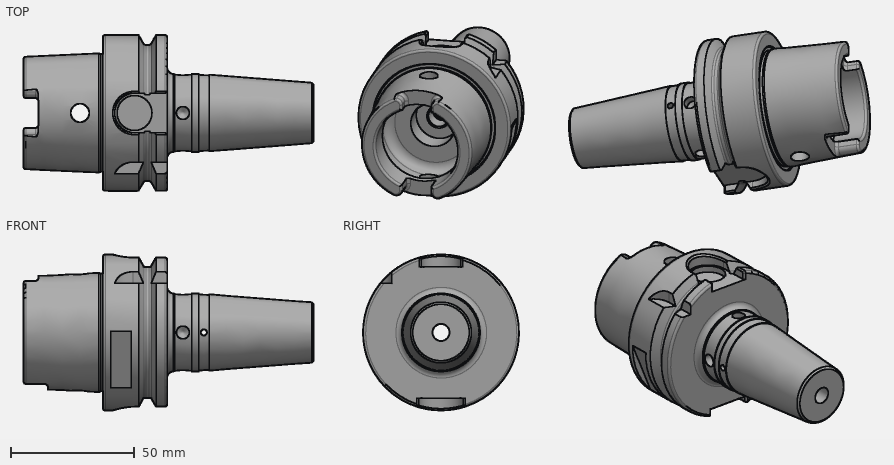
import cadquery as cq
import math


SHANK_LENGTH = 32.0
SHANK_ROOT_RADIUS = 24.1
SHANK_END_RADIUS = 22.7
SHANK_END_ROUND = 1.0
NECK_LENGTH = 1.6
NECK_RADIUS = 23.8
FACE_GROOVE_RADIUS = 25.5
FACE_GROOVE_DEPTH = 0.4

FLANGE_RADIUS = 31.5
FLANGE_WIDTH = 26.0
FLANGE_ROUND = 1.0
GROOVE_LEFT = 14.4
GROOVE_RIGHT = 21.5
GROOVE_FLOOR_RADIUS = 27.5
GROOVE_WALL_ANGLE = 30.0
GROOVE_FILLET = 1.0

NOSE_END = 85.0
NOSE_RADIUS = 15.5
NOSE_FILLET = 2.5
NOSE_SHOULDER_RADIUS = 15.8
NOSE_SHOULDER_LENGTH = 0.6
RING_START = 35.8
RING_END = 38.7
RING_RADIUS = 15.8
RELIEF_END_RADIUS = 15.2
TAPER_START = 42.9
NOSE_END_RADIUS = 12.2
NOSE_END_CHAMFER = 0.8

BORE_RADIUS = 17.0
BORE_FLOOR_X = -2.0
UNDERCUT_START = -19.0
UNDERCUT_RADIUS = 20.0
UNDERCUT_FILLET = 4.2
TUBE_BORE_RADIUS = 9.1
TUBE_BORE_DEPTH = 10.0
THROUGH_RADIUS = 3.4
SCREW_BORE_RADIUS = 4.2
SCREW_BORE_DEPTH = 8.0
SCREW_BORE_CHAMFER = 0.5

DRIVE_HALF_WIDTH = 6.0
DRIVE_DEPTH_TOP = 6.0
DRIVE_DEPTH_BOTTOM = 9.8
DRIVE_LAND_HEIGHT = 20.8
DRIVE_LIP_RADIUS = 2.5
DRIVE_FLOOR_FILLET = 1.3

KEYWAY_START = 4.8
KEYWAY_FLOOR = 26.5
KEYWAY_HALF_WIDTH_TOP = 8.0
KEYWAY_HALF_WIDTH_BOTTOM = 9.0
KEYWAY_CHAMFER = 0.8
CHIP_POCKET_RADIUS = 7.05
CHIP_POCKET_DEPTH = 2.7

NOTCH_OFFSET = 19.85
NOTCH_CUTTER_RADIUS = 8.0
NOTCH_CENTRE_X = 12.0
FLAT_START = 3.2
FLAT_END = 11.5
FLAT_DISTANCE = 29.0
FLAT_ANGLE = 22.0

SHANK_HOLE_X = -9.2
SHANK_HOLE_RADIUS = 3.7
BALANCE_HOLE_X = 32.3
BALANCE_HOLE_RADIUS = 2.6
BALANCE_HOLE_DEPTH = 4.0
BALANCE_HOLE_COUNT = 4
DRILL_POINT_ANGLE = 118.0
VENT_HOLE_X = 40.75
VENT_HOLE_RADIUS = 1.2

OVERSIZE = 40.0
TOLERANCE = 0.01


def revolved(outline):
    return outline.close().revolve(360, (0, 0, 0), (1, 0, 0))


def blank():
    """Outer shape without the gripper groove."""
    fillet_mid = NOSE_FILLET * (1 - math.sqrt(0.5))
    shoulder_start = FLANGE_WIDTH + NOSE_FILLET
    outline = (
        cq.Workplane("XY")
        .moveTo(-SHANK_LENGTH, 0)
        .lineTo(-SHANK_LENGTH, SHANK_END_RADIUS)
        .lineTo(-NECK_LENGTH, SHANK_ROOT_RADIUS)
        .lineTo(-NECK_LENGTH / 2, NECK_RADIUS)
        .lineTo(FACE_GROOVE_DEPTH, NECK_RADIUS)
        .lineTo(FACE_GROOVE_DEPTH, FACE_GROOVE_RADIUS - FACE_GROOVE_DEPTH)
        .lineTo(0, FACE_GROOVE_RADIUS)
        .lineTo(0, FLANGE_RADIUS)
        .lineTo(FLANGE_WIDTH, FLANGE_RADIUS)
        .lineTo(FLANGE_WIDTH, NOSE_SHOULDER_RADIUS + NOSE_FILLET)
        .threePointArc(
            (FLANGE_WIDTH + fillet_mid, NOSE_SHOULDER_RADIUS + fillet_mid),
            (shoulder_start, NOSE_SHOULDER_RADIUS),
        )
        .lineTo(shoulder_start + NOSE_SHOULDER_LENGTH, NOSE_RADIUS)
        .lineTo(RING_START, NOSE_RADIUS)
        .lineTo(RING_START, RING_RADIUS)
        .lineTo(RING_END, RING_RADIUS)
        .lineTo(RING_END, NOSE_RADIUS)
        .lineTo(TAPER_START, RELIEF_END_RADIUS)
        .lineTo(TAPER_START, NOSE_RADIUS)
        .lineTo(NOSE_END, NOSE_END_RADIUS)
        .lineTo(NOSE_END, 0)
    )
    body = revolved(outline)
    body = body.faces(">X").edges().chamfer(NOSE_END_CHAMFER)
    return body.edges(cq.selectors.RadiusNthSelector(-1)).fillet(FLANGE_ROUND)


def gripper_groove():
    """Ring that cuts the V-shaped gripper groove."""
    past_rim = OVERSIZE
    wall_width = (FLANGE_RADIUS - GROOVE_FLOOR_RADIUS) * math.tan(math.radians(GROOVE_WALL_ANGLE))
    ring = revolved(
        cq.Workplane("XY")
        .moveTo(GROOVE_LEFT, past_rim)
        .lineTo(GROOVE_LEFT, FLANGE_RADIUS)
        .lineTo(GROOVE_LEFT + wall_width, GROOVE_FLOOR_RADIUS)
        .lineTo(GROOVE_RIGHT - wall_width, GROOVE_FLOOR_RADIUS)
        .lineTo(GROOVE_RIGHT, FLANGE_RADIUS)
        .lineTo(GROOVE_RIGHT, past_rim)
    )
    return ring.edges(cq.selectors.RadiusNthSelector(0)).fillet(GROOVE_FILLET)


def axial_bores():
    """Stepped bore along the axis, undercut behind the shank mouth."""
    tube_floor = BORE_FLOOR_X + TUBE_BORE_DEPTH
    screw_floor = tube_floor + SCREW_BORE_DEPTH
    fillet_start = (BORE_FLOOR_X - UNDERCUT_FILLET, UNDERCUT_RADIUS)
    fillet_end = (BORE_FLOOR_X, UNDERCUT_RADIUS - UNDERCUT_FILLET)
    return revolved(
        cq.Workplane("XY")
        .moveTo(-SHANK_LENGTH, 0)
        .lineTo(-SHANK_LENGTH, BORE_RADIUS)
        .lineTo(UNDERCUT_START, BORE_RADIUS)
        .lineTo(UNDERCUT_START, UNDERCUT_RADIUS)
        .lineTo(*fillet_start)
        .radiusArc(fillet_end, UNDERCUT_FILLET)
        .lineTo(BORE_FLOOR_X, TUBE_BORE_RADIUS)
        .lineTo(tube_floor, TUBE_BORE_RADIUS)
        .lineTo(tube_floor, SCREW_BORE_RADIUS + SCREW_BORE_CHAMFER)
        .lineTo(tube_floor + SCREW_BORE_CHAMFER, SCREW_BORE_RADIUS)
        .lineTo(screw_floor, SCREW_BORE_RADIUS)
        .lineTo(screw_floor, THROUGH_RADIUS)
        .lineTo(NOSE_END, THROUGH_RADIUS)
        .lineTo(NOSE_END, 0)
    )


def drive_slot(depth):
    """Slot on the +Z side with lips rounded out into flat lands."""
    lip = DRIVE_LIP_RADIUS
    lip_mid = lip * (1 - math.sqrt(0.5))
    lip_start = DRIVE_LAND_HEIGHT - lip
    half = DRIVE_HALF_WIDTH
    slot = (
        cq.Workplane("YZ", origin=(-SHANK_LENGTH, 0, 0))
        .moveTo(-half, 0)
        .lineTo(-half, lip_start)
        .threePointArc((-half - lip_mid, DRIVE_LAND_HEIGHT - lip_mid), (-half - lip, DRIVE_LAND_HEIGHT))
        .lineTo(-OVERSIZE, DRIVE_LAND_HEIGHT)
        .lineTo(-OVERSIZE, OVERSIZE)
        .lineTo(OVERSIZE, OVERSIZE)
        .lineTo(OVERSIZE, DRIVE_LAND_HEIGHT)
        .lineTo(half + lip, DRIVE_LAND_HEIGHT)
        .threePointArc((half + lip_mid, DRIVE_LAND_HEIGHT - lip_mid), (half, lip_start))
        .lineTo(half, 0)
        .close()
        .extrude(depth)
    )
    floor_x = depth - SHANK_LENGTH
    reach = half + lip + TOLERANCE
    floor_rim = cq.selectors.BoxSelector(
        (floor_x - TOLERANCE, -reach, DRIVE_FLOOR_FILLET),
        (floor_x + TOLERANCE, reach, DRIVE_LAND_HEIGHT + TOLERANCE),
    )
    return slot.edges(floor_rim).fillet(DRIVE_FLOOR_FILLET)


def keyway(half_width):
    """Round-ended slot on the +Z side, open at the nose side of the flange."""
    centre = KEYWAY_START + half_width
    return (
        cq.Workplane("XY", origin=(0, 0, KEYWAY_FLOOR))
        .moveTo(centre, half_width)
        .threePointArc((KEYWAY_START, 0), (centre, -half_width))
        .lineTo(OVERSIZE, -half_width)
        .lineTo(OVERSIZE, half_width)
        .close()
        .extrude(OVERSIZE)
    )


def to_bottom(shape):
    return shape.rotate((0, 0, 0), (1, 0, 0), 180)


def chip_pocket():
    centre = KEYWAY_START + KEYWAY_HALF_WIDTH_TOP
    return (
        cq.Workplane("XY", origin=(centre, 0, KEYWAY_FLOOR - CHIP_POCKET_DEPTH))
        .circle(CHIP_POCKET_RADIUS)
        .extrude(OVERSIZE)
    )


def corner_notch():
    """Step milled into the -Y/+Z side with an upright cutter."""
    left = NOTCH_CENTRE_X - NOTCH_CUTTER_RADIUS
    arc_y = -NOTCH_OFFSET - NOTCH_CUTTER_RADIUS
    return (
        cq.Workplane("XY", origin=(0, 0, NOTCH_OFFSET))
        .moveTo(left, arc_y)
        .radiusArc((NOTCH_CENTRE_X, -NOTCH_OFFSET), NOTCH_CUTTER_RADIUS)
        .lineTo(OVERSIZE, -NOTCH_OFFSET)
        .lineTo(OVERSIZE, -OVERSIZE)
        .lineTo(left, -OVERSIZE)
        .close()
        .extrude(OVERSIZE)
    )


def label_flat():
    return (
        cq.Workplane("XY")
        .box(FLAT_END - FLAT_START, OVERSIZE, OVERSIZE, centered=(False, False, True))
        .translate((FLAT_START, -FLAT_DISTANCE - OVERSIZE, 0))
        .rotate((0, 0, 0), (1, 0, 0), FLAT_ANGLE)
    )


def balance_holes():
    floor = NOSE_RADIUS - BALANCE_HOLE_DEPTH
    point = BALANCE_HOLE_RADIUS / math.tan(math.radians(DRILL_POINT_ANGLE / 2))
    hole = (
        cq.Workplane("XZ")
        .moveTo(0, floor - point)
        .lineTo(BALANCE_HOLE_RADIUS, floor)
        .lineTo(BALANCE_HOLE_RADIUS, FLANGE_RADIUS)
        .lineTo(0, FLANGE_RADIUS)
        .close()
        .revolve(360, (0, 0, 0), (0, 1, 0))
        .translate((BALANCE_HOLE_X, 0, 0))
    )
    holes = cq.Workplane("XY")
    for index in range(BALANCE_HOLE_COUNT):
        holes = holes.add(hole.rotate((0, 0, 0), (1, 0, 0), index * 360 / BALANCE_HOLE_COUNT))
    return holes.combine()


def cross_hole(plane, x, radius):
    return cq.Workplane(plane, origin=(x, 0, 0)).circle(radius).extrude(OVERSIZE, both=True)


class KeywayRims(cq.Selector):
    """Edges where the keyway walls meet the outside of the flange."""

    def filter(self, edges):
        return [edge for edge in edges if self.is_rim(edge)]

    def is_rim(self, edge):
        middle = edge.positionAt(0.5)
        on_flange = abs(math.hypot(middle.y, middle.z) - FLANGE_RADIUS) < TOLERANCE
        in_keyway = abs(middle.y) < KEYWAY_HALF_WIDTH_BOTTOM + TOLERANCE
        inside_rims = FLANGE_ROUND + TOLERANCE < middle.x < FLANGE_WIDTH - FLANGE_ROUND - TOLERANCE
        return on_flange and in_keyway and inside_rims and edge.geomType() != "CIRCLE"


def flange_body():
    """Blank with both keyways cut and their rims chamfered."""
    body = blank()
    body = body.cut(keyway(KEYWAY_HALF_WIDTH_TOP))
    body = body.cut(to_bottom(keyway(KEYWAY_HALF_WIDTH_BOTTOM)))
    return body.edges(KeywayRims()).chamfer(KEYWAY_CHAMFER)


result = flange_body()
result = result.cut(chip_pocket())
result = result.cut(gripper_groove())
result = result.cut(axial_bores())
result = result.cut(drive_slot(DRIVE_DEPTH_TOP))
result = result.cut(to_bottom(drive_slot(DRIVE_DEPTH_BOTTOM)))
result = result.faces("<X").edges().fillet(SHANK_END_ROUND)
result = result.cut(corner_notch())
result = result.cut(label_flat())
result = result.cut(balance_holes())
result = result.cut(cross_hole("XY", SHANK_HOLE_X, SHANK_HOLE_RADIUS))
result = result.cut(cross_hole("XZ", VENT_HOLE_X, VENT_HOLE_RADIUS))